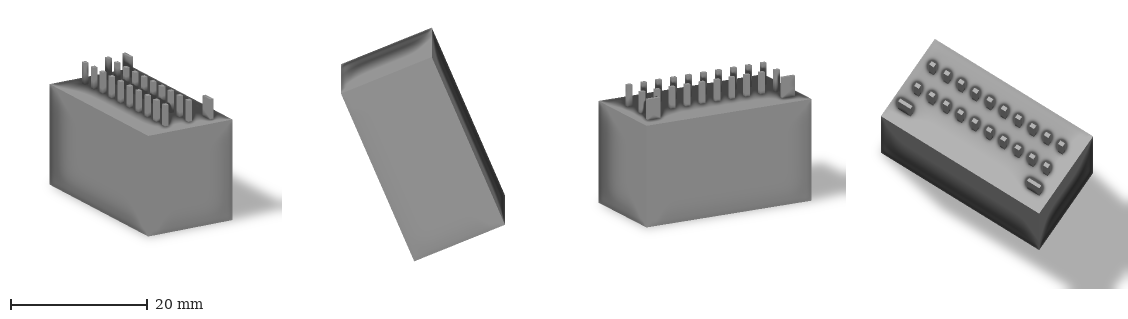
import cadquery as cq

body_length = 27.7
body_width = 14.4
total_height = 18.9
pin_height = 3.35
body_height = total_height - pin_height

pins_per_row = 10
row_span = 22.55
pin_pitch = row_span / (pins_per_row - 1)
pin_length = 0.8
pin_width = 0.65
row_spacing = 4.0
back_row_y = 1.3
front_row_y = back_row_y - row_spacing

tab_length = 2.15
tab_width = 0.53
tab_height = 3.19
tab_y = 4.6


def posts_on_top(part, centres, length, width, height):
    """Add a rectangular post on the top face at each (x, y) centre."""
    posts = (
        cq.Workplane("XY")
        .workplane(offset=body_height)
        .pushPoints(centres)
        .rect(length, width)
        .extrude(height)
    )
    return part.union(posts)


body = cq.Workplane("XY").box(
    body_length, body_width, body_height, centered=(True, True, False)
)

pin_centres = [
    (-row_span / 2 + i * pin_pitch, row_y)
    for row_y in (front_row_y, back_row_y)
    for i in range(pins_per_row)
]
tab_centres = [(side * row_span / 2, tab_y) for side in (-1, 1)]

with_pins = posts_on_top(body, pin_centres, pin_length, pin_width, pin_height)
result = posts_on_top(with_pins, tab_centres, tab_length, tab_width, tab_height)